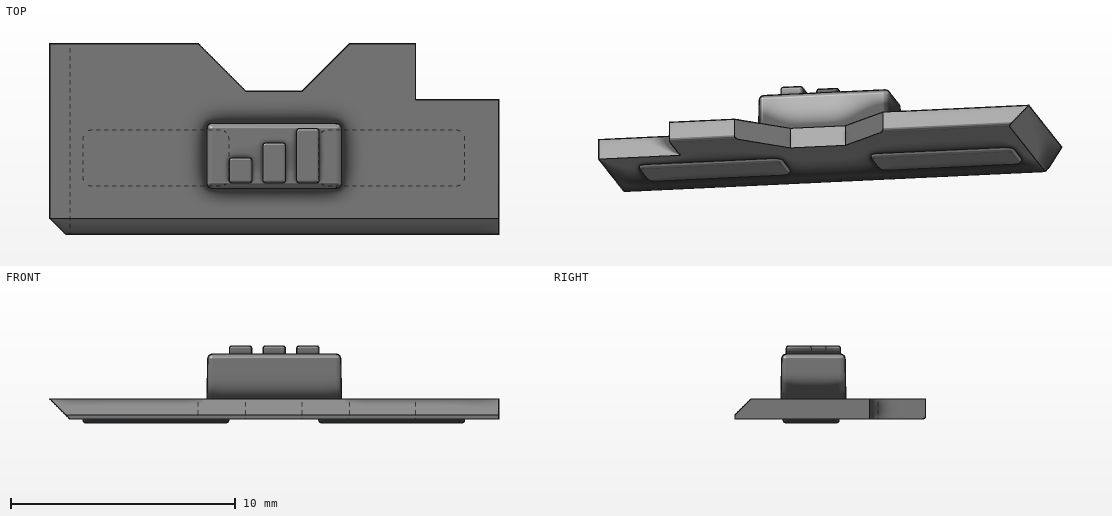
import cadquery as cq

plate_length = 20
plate_width = 8.5
plate_thickness = 0.9
front_lip = 0.18
rear_fillet = 0.15

notch_center_x = 9.98
notch_floor_width = 2.5
notch_depth = 2.12
corner_cut_length = 3.7
corner_cut_width = 2.5

block_length = 6
block_width = 2.9
block_height = 2
block_center = (10, 3.5)
block_draft = 1
block_fillet = 0.25

key_width = 1
key_pitch = 1.5
key_lengths = (1.12, 1.78, 2.42)
key_height = 0.35
key_root = 0.1
key_fillet = 0.12

pad_length = 6.5
pad_width = 2.5
pad_thickness = 0.18
pad_corner_radius = 0.4
pad_edge_fillet = 0.15
pad_pitch = 10.5
pad_center = (9.98, 3.4)


def make_plate():
    """Plate with an undercut left end, a bevelled front and a notched rear edge."""
    half_floor = notch_floor_width / 2
    half_mouth = half_floor + notch_depth
    cut_x = plate_length - corner_cut_length
    outline = [
        (0, 0),
        (plate_length, 0),
        (plate_length, plate_width - corner_cut_width),
        (cut_x, plate_width - corner_cut_width),
        (cut_x, plate_width),
        (notch_center_x + half_mouth, plate_width),
        (notch_center_x + half_floor, plate_width - notch_depth),
        (notch_center_x - half_floor, plate_width - notch_depth),
        (notch_center_x - half_mouth, plate_width),
        (0, plate_width),
    ]
    plate = cq.Workplane("XY").polyline(outline).close().extrude(plate_thickness)

    left_undercut = (
        cq.Workplane("XZ")
        .polyline([(0, 0), (plate_thickness, 0), (0, plate_thickness)])
        .close()
        .extrude(-plate_width)
    )
    bevel = plate_thickness - front_lip
    front_bevel = (
        cq.Workplane("YZ")
        .polyline([(0, front_lip), (bevel, plate_thickness), (0, plate_thickness)])
        .close()
        .extrude(plate_length)
    )
    plate = plate.edges("<Z and >Y").fillet(rear_fillet)
    return plate.cut(left_undercut).cut(front_bevel)


def make_block():
    """Drafted block with rounded upright and top edges."""
    return (
        cq.Workplane("XY", origin=(*block_center, plate_thickness))
        .rect(block_length, block_width)
        .extrude(block_height, taper=block_draft)
        .faces("not <Z")
        .edges("not <Z")
        .fillet(block_fillet)
    )


def make_key(slot, length):
    """One raised key; slot 0 is over the block centre and all keys share a front line."""
    front_y = block_center[1] - max(key_lengths) / 2
    center_x = block_center[0] + slot * key_pitch
    root_z = plate_thickness + block_height - key_root
    return (
        cq.Workplane("XY", origin=(center_x, front_y + length / 2, root_z))
        .rect(key_width, length)
        .extrude(key_root + key_height)
        .edges("|Z or >Z")
        .fillet(key_fillet)
    )


def make_pad(side):
    """Flat pad below the plate, on the left (-1) or right (+1)."""
    center_x = pad_center[0] + side * pad_pitch / 2
    return (
        cq.Workplane("XY", origin=(center_x, pad_center[1], 0))
        .rect(pad_length, pad_width)
        .extrude(-pad_thickness)
        .edges("|Z")
        .fillet(pad_corner_radius)
        .edges("<Z")
        .fillet(pad_edge_fillet)
    )


result = make_plate().union(make_block())
for slot, length in zip((-1, 0, 1), key_lengths):
    result = result.union(make_key(slot, length))
for side in (-1, 1):
    result = result.union(make_pad(side))